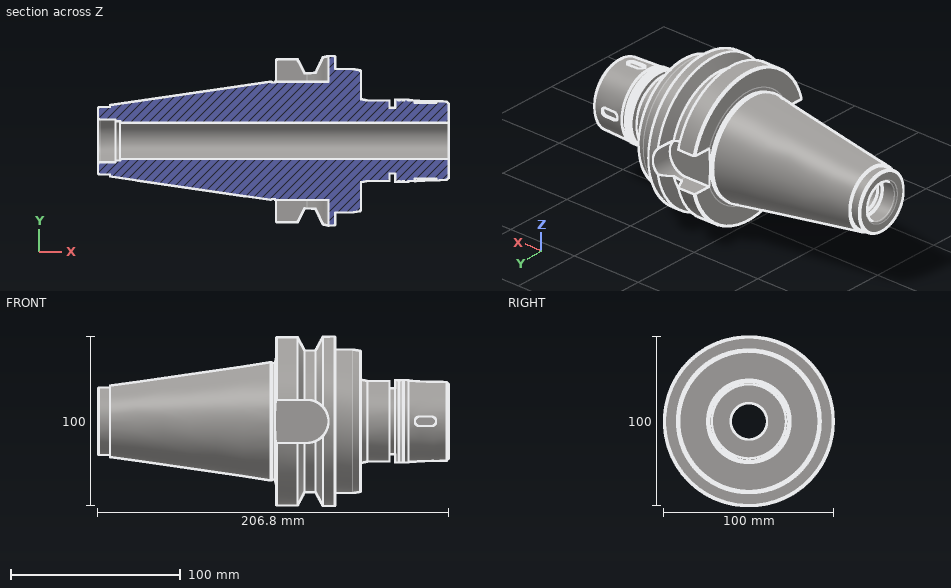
import cadquery as cq
total_length = 206.8
pilot_length = 7.0
gauge_x = 101.7
relief_start = 103.0
relief_end = 104.2
flange_x = 104.8
front_rim_end = 117.7
groove_start = 121.8
groove_end = 128.2
rear_rim_start = 132.5
rear_rim_end = 140.0
collar_taper_start = 150.1
collar_end = 155.0
neck_start = 158.2
neck_end = 171.9
nut_start = 175.2
nut_groove_centers = (177.5, 180.0)
nut_band_end = 183.0

pilot_diameter = 40.0
gauge_diameter = 70.0
relief_diameter = 68.9
flange_root_diameter = 74.0
front_rim_diameter = 99.5
rear_rim_diameter = 100.0
groove_diameter = 83.8
collar_diameter = 84.8
collar_end_diameter = 83.3
neck_root_diameter = 49.2
neck_shoulder_diameter = 48.0
neck_diameter = 47.5
undercut_diameter = 39.0
nut_band_diameter = 48.8
nut_body_diameter = 48.0
nut_front_diameter = 46.5

taper_slope = 7 / 24
taper_start_diameter = gauge_diameter - (gauge_x - pilot_length) * taper_slope

edge_break = 0.6
nut_chamfer = 1.5
nut_groove_width = 0.8
nut_groove_depth = 0.5
cutter_clearance = 2.0

drive_slot_width = 25.5
drive_slot_end = 135.9
drive_slot_floor = 35.0
wrench_slot_start = 186.7
wrench_slot_length = 12.6
wrench_slot_width = 5.5
wrench_slot_floor = 22.3
wrench_slot_count = 4

bore_mouth_radius = 1.2
bore_diameter = 25.0
bore_depth = 10.3
bore_step_diameter = 23.0
bore_step_depth = 13.0
through_diameter = 21.3


def revolve_profile(points):
    """Turn a list of (x, diameter) points about the X axis."""
    outline = [(x, diameter / 2) for x, diameter in points]
    outline = [(points[0][0], 0)] + outline + [(points[-1][0], 0)]
    return cq.Workplane("XY").polyline(outline).close().revolve(360, (0, 0, 0), (1, 0, 0))


def make_body():
    return revolve_profile([
        (0, pilot_diameter - 2 * edge_break),
        (edge_break, pilot_diameter),
        (pilot_length, pilot_diameter),
        (pilot_length, taper_start_diameter),
        (gauge_x, gauge_diameter),
        (relief_start, relief_diameter),
        (relief_end, relief_diameter),
        (flange_x, flange_root_diameter),
        (flange_x, front_rim_diameter - 2 * edge_break),
        (flange_x + edge_break, front_rim_diameter),
        (front_rim_end, front_rim_diameter),
        (groove_start, groove_diameter),
        (groove_end, groove_diameter),
        (rear_rim_start, rear_rim_diameter),
        (rear_rim_end - edge_break, rear_rim_diameter),
        (rear_rim_end, rear_rim_diameter - 2 * edge_break),
        (rear_rim_end, collar_diameter),
        (collar_taper_start, collar_diameter),
        (collar_end - edge_break, collar_end_diameter),
        (collar_end, collar_end_diameter - 2 * edge_break),
        (collar_end, neck_root_diameter),
        (neck_start, neck_shoulder_diameter),
        (neck_start + edge_break, neck_diameter),
        (neck_end, neck_diameter),
        (neck_end, undercut_diameter),
        (nut_start, undercut_diameter),
        (nut_start, nut_band_diameter),
        (nut_band_end, nut_band_diameter),
        (nut_band_end, nut_body_diameter),
        (total_length - nut_chamfer, nut_front_diameter),
        (total_length, nut_front_diameter - 2 * nut_chamfer),
    ])


def ring(start_x, length, outer_diameter, inner_diameter):
    """A plain ring about the X axis."""
    return (
        cq.Workplane("YZ", origin=(start_x, 0, 0))
        .circle(outer_diameter / 2)
        .circle(inner_diameter / 2)
        .extrude(length)
    )


def cut_nut_grooves(body):
    root_diameter = nut_band_diameter - 2 * nut_groove_depth
    outer_diameter = nut_band_diameter + cutter_clearance
    for center_x in nut_groove_centers:
        start_x = center_x - nut_groove_width / 2
        body = body.cut(ring(start_x, nut_groove_width, outer_diameter, root_diameter))
    return body


def slot_cutter(start_x, end_x, width, floor, top):
    """A round-ended slot along X that cuts inward from the -Y side."""
    return (
        cq.Workplane("XZ", origin=((start_x + end_x) / 2, -floor, 0))
        .slot2D(end_x - start_x, width)
        .extrude(top - floor)
    )


def cut_drive_slots(body):
    cutter = slot_cutter(
        flange_x - drive_slot_width, drive_slot_end, drive_slot_width, drive_slot_floor, rear_rim_diameter
    )
    for angle in (0, 180):
        body = body.cut(cutter.rotate((0, 0, 0), (1, 0, 0), angle))
    return body


def cut_wrench_slots(body):
    cutter = slot_cutter(
        wrench_slot_start,
        wrench_slot_start + wrench_slot_length,
        wrench_slot_width,
        wrench_slot_floor,
        nut_band_diameter,
    )
    for index in range(wrench_slot_count):
        body = body.cut(cutter.rotate((0, 0, 0), (1, 0, 0), index * 360 / wrench_slot_count))
    return body


def cut_bore(body):
    """Cut the stepped through bore and round its mouth at the small end of the taper."""
    body = body.cut(revolve_profile([
        (0, bore_diameter),
        (bore_depth, bore_diameter),
        (bore_depth, bore_step_diameter),
        (bore_step_depth, bore_step_diameter),
        (bore_step_depth, through_diameter),
        (total_length, through_diameter),
    ]))
    mouth = cq.selectors.RadiusNthSelector(0)
    return body.faces("<X").edges(mouth).fillet(bore_mouth_radius)


result = make_body()
result = cut_nut_grooves(result)
result = cut_drive_slots(result)
result = cut_wrench_slots(result)
result = cut_bore(result)